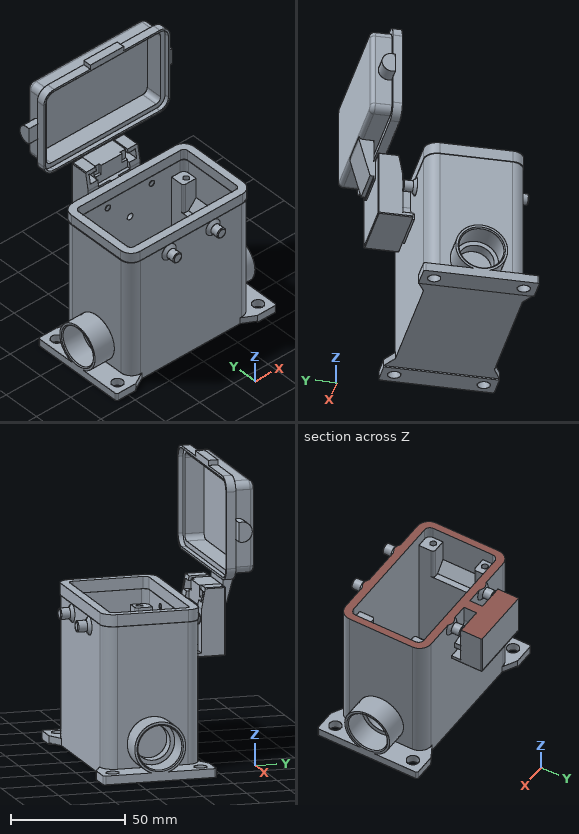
import cadquery as cq
import math


body_x = 70.9
body_y = 44.4
body_bottom = 0.7
body_top = 73.5
rim_x = 71.7
rim_y = 44.7
rim_bottom = 68.1
corner_radius = 6.0
root_overlap = 1.3
cavity_x = 63.4
cavity_y = 36.1
cavity_floor = 4.1
cavity_radius = 2.7
mouth_step = 0.1
mouth_radius = 2.1

flange_x = 93.5
flange_y = 51.9
flange_thickness = 4.0
flange_ear_x = 35.6
flange_waist_x = 28.8
flange_radius = 1.1
mount_hole_x = 41.0
mount_hole_y = 20.0
mount_hole_diameter = 5.8

entry_z = 15.0
entry_radius = 11.6
bore_radius = 10.0
bore_chamfer = 0.5
seat_radius = 8.0
seat_depth = 5.4

post_inner_x = 24.2
post_y = 10.3
post_top = 61.4
post_fillet = 1.3
screw_x = 28.6
screw_y = 13.4
screw_diameter = 3.0
screw_depth = 10.7
block_top = 45.5
ramp_start_x = 27.3
ramp_top = 50.5

pin_x = 12.8
pin_z = 63.9
pin_radius = 2.5
pin_tip_y = 28.1
pin_tip_chamfer = 0.4
pin_base_radius = 4.1
pin_base_length = 1.5
pin_end_radius = 1.5
pin_end_depth = 0.3

bracket_half_x = 10.2
bracket_neck_half_x = 2.5
bracket_bottom = 48.7
bracket_top = 67.8
bracket_flare = bracket_half_x - bracket_neck_half_x
bracket_shoulder = 51.5
rivet_z = 52.2
rivet_radius = 1.6
rivet_depth = 5.4

cover_half_x = 15.2
cover_front = 28.5
cover_back = 39.5
cover_bottom = 46.8
cover_top = 77.8
cover_slope_y = 30.2
cover_slope_z = 68.5
cover_foot_y = 23.8
cover_edge = 0.4
cover_wall = 1.7
pocket_bottom = 71.2
pocket_top = 75.8
pocket_back = 37.9

arm_half_x = 9.2
arm_bottom = 69.3
arm_top = 91.0
arm_front = 40.1
arm_toe_y = 41.9
arm_heel_y = 46.8
knuckle_front = 31.5
knuckle_top = 77.0
pad_half_x = 6.2
pad_front = 30.2
pad_shoulder = 72.1

lid_z = 108.2
lid_front = 33.3
lid_step = 37.6
lid_back = 47.0
lid_x = 68.7
lid_height = 41.5
lid_radius = 3.5
lid_fillet = 2.0
lid_lip = 2.5
lid_rim = 1.1
recess_depth = 2.3
lid_cavity_x = 66.6
lid_cavity_height = 39.6
lid_cavity_radius = 2.7
lid_floor = 44.4
tab_half_x = 9.8
tab_top = 133.8
trunnion_x = 83.7
trunnion_radius = 4.5
trunnion_y = 39.0


def box(x0, x1, y0, y1, z0, z1):
    """Box between two corner points."""
    return cq.Workplane("XY").box(x1 - x0, y1 - y0, z1 - z0, centered=False).translate((x0, y0, z0))


def upright_block(x, y, radius, z0, z1):
    """Centred block with rounded vertical edges."""
    return cq.Workplane("XY", origin=(0, 0, z0)).rect(x, y).extrude(z1 - z0).edges("|Z").fillet(radius)


def lid_block(x, height, radius, y0, y1):
    """Block centred on the lid with its edges along Y rounded."""
    block = cq.Workplane("XZ", origin=(0, y0, lid_z)).rect(x, height).extrude(y0 - y1)
    return block.edges("|Y").fillet(radius)


def side_profile(points, half_x):
    """Outline of (Y, Z) points extruded to both sides of the middle plane."""
    return cq.Workplane("YZ").polyline(points).close().extrude(half_x, both=True)


def x_cylinder(radius, x0, x1, y, z):
    return cq.Workplane("YZ", origin=(x0, y, z)).circle(radius).extrude(x1 - x0)


def y_cylinder(radius, y0, y1, x, z):
    return cq.Workplane("XZ", origin=(x, y0, z)).circle(radius).extrude(y0 - y1)


def both_ends(shape):
    """The shape and its mirror image at the other end of the part."""
    return shape.union(shape.mirror("YZ"))


def flange():
    ear_x, ear_y = flange_x / 2, flange_y / 2
    waist_y = body_y / 2
    outline = [
        (0, -waist_y),
        (flange_waist_x, -waist_y),
        (flange_ear_x, -ear_y),
        (ear_x, -ear_y),
        (ear_x, ear_y),
        (flange_ear_x, ear_y),
        (flange_waist_x, waist_y),
        (0, waist_y),
    ]
    half = cq.Workplane("XY").polyline(outline).close().extrude(flange_thickness)
    half = half.edges("|Z and >X").fillet(flange_radius)
    plate = both_ends(half)
    holes = [(sx * mount_hole_x, sy * mount_hole_y) for sx in (-1, 1) for sy in (-1, 1)]
    plate = plate.faces(">Z").workplane(origin=(0, 0, 0)).pushPoints(holes).hole(mount_hole_diameter)
    return plate.cut(box(-flange_ear_x, flange_ear_x, -ear_y, ear_y, 0, body_bottom))


def box_interior():
    """Corner posts and sloping end blocks left standing in the cavity."""
    wall_x, wall_y = cavity_x / 2, cavity_y / 2
    profile = [
        (post_inner_x, cavity_floor),
        (post_inner_x, block_top),
        (ramp_start_x, block_top),
        (wall_x, ramp_top),
        (wall_x, cavity_floor),
    ]
    end = cq.Workplane("XZ").polyline(profile).close().extrude(wall_y, both=True)
    for side in (-1, 1):
        near, far = sorted((side * post_y, side * wall_y))
        post = box(post_inner_x, wall_x, near, far, cavity_floor, post_top)
        inner_edge = "|Z and <X and " + ("<Y" if side > 0 else ">Y")
        post = post.edges(inner_edge).fillet(post_fillet)
        hole = cq.Workplane("XY", origin=(screw_x, side * screw_y, post_top - screw_depth))
        end = end.union(post).cut(hole.circle(screw_diameter / 2).extrude(screw_depth))
    return both_ends(end)


def cable_entry():
    return x_cylinder(entry_radius, body_x / 2 - root_overlap, flange_x / 2, 0, entry_z)


def cable_bore():
    """Stepped blind bore with a chamfered mouth, for the +X end."""
    mouth, shoulder = flange_x / 2, body_x / 2
    seat_end = shoulder - seat_depth
    bore = x_cylinder(bore_radius, shoulder, mouth, 0, entry_z)
    bore = bore.union(x_cylinder(seat_radius, seat_end, shoulder, 0, entry_z))
    flare_start = cq.Workplane("YZ", origin=(mouth - bore_chamfer, 0, entry_z)).circle(bore_radius)
    flare = flare_start.workplane(offset=bore_chamfer).circle(bore_radius + bore_chamfer).loft()
    return bore.union(flare)


def locking_pin(x):
    """Pin on the back wall with a conical root and a chamfered tip."""
    wall = body_y / 2
    profile = [
        (0, wall - root_overlap),
        (pin_base_radius, wall - root_overlap),
        (pin_base_radius, wall),
        (pin_radius, wall + pin_base_length),
        (pin_radius, pin_tip_y - pin_tip_chamfer),
        (pin_radius - pin_tip_chamfer, pin_tip_y),
        (0, pin_tip_y),
    ]
    pin = cq.Workplane("XY").polyline(profile).close().revolve(360, (0, 0, 0), (0, 1, 0))
    return pin.translate((x, 0, pin_z))


def housing():
    body = upright_block(body_x, body_y, corner_radius, body_bottom, body_top)
    body = body.union(upright_block(rim_x, rim_y, corner_radius, rim_bottom, body_top))
    body = body.union(flange())
    body = body.union(both_ends(cable_entry()))
    body = body.cut(upright_block(cavity_x, cavity_y, cavity_radius, cavity_floor, body_top))
    mouth_x, mouth_y = cavity_x + 2 * mouth_step, cavity_y + 2 * mouth_step
    body = body.cut(upright_block(mouth_x, mouth_y, mouth_radius, rim_bottom, body_top))
    body = body.union(box_interior())
    body = body.cut(both_ends(cable_bore()))
    for x in (-pin_x, pin_x):
        back_pin = locking_pin(x)
        body = body.union(back_pin).union(back_pin.mirror("XZ"))
        body = body.cut(y_cylinder(pin_end_radius, cavity_y / 2, cavity_y / 2 + pin_end_depth, x, pin_z))
    return body


def hinge_bracket():
    """Upright neck that flares in two concave quarter rounds to a wide foot."""
    flare_z = bracket_shoulder + bracket_flare
    swing = bracket_flare * (1 - math.sqrt(0.5))
    mid_x, mid_z = bracket_neck_half_x + swing, bracket_shoulder + swing
    outline = (
        cq.Workplane("XZ", origin=(0, body_y / 2, 0))
        .moveTo(-bracket_half_x, bracket_bottom)
        .lineTo(bracket_half_x, bracket_bottom)
        .lineTo(bracket_half_x, bracket_shoulder)
        .threePointArc((mid_x, mid_z), (bracket_neck_half_x, flare_z))
        .lineTo(bracket_neck_half_x, bracket_top)
        .lineTo(-bracket_neck_half_x, bracket_top)
        .lineTo(-bracket_neck_half_x, flare_z)
        .threePointArc((-mid_x, mid_z), (-bracket_half_x, bracket_shoulder))
        .close()
    )
    return outline.extrude(body_y / 2 - cover_front)


def hinge_cover():
    profile = [
        (cover_back, cover_bottom),
        (cover_back, cover_top),
        (cover_slope_y, cover_top),
        (cover_front, cover_slope_z),
        (cover_front, bracket_bottom),
        (cover_foot_y, bracket_bottom),
        (cover_foot_y, cover_bottom),
    ]
    cover = side_profile(profile, cover_half_x)
    cover = cover.faces(">Y").edges().chamfer(cover_edge)
    cover = cover.faces(">Z or <Z").edges("|Y").chamfer(cover_edge)
    cover = cover.cut(box(-arm_half_x, arm_half_x, cover_front, cover_back, bracket_top, cover_top))
    pocket_x = cover_half_x - cover_wall
    return cover.cut(box(-pocket_x, pocket_x, cover_front, pocket_back, pocket_bottom, pocket_top))


def lid_arm():
    profile = [
        (arm_front, arm_top),
        (arm_heel_y, arm_top),
        (arm_heel_y, lid_z - lid_height / 2),
        (arm_toe_y, arm_bottom),
        (arm_front, arm_bottom),
    ]
    arm = side_profile(profile, arm_half_x)
    knuckle = box(-arm_half_x, arm_half_x, knuckle_front, arm_front, bracket_top, knuckle_top)
    pad = box(-pad_half_x, pad_half_x, pad_front, knuckle_front, bracket_top, knuckle_top)
    wide_pad = box(-arm_half_x, arm_half_x, pad_front, knuckle_front, bracket_top, pad_shoulder)
    return arm.union(knuckle).union(pad).union(wide_pad)


def lid():
    flange_width = lid_x + 2 * lid_lip
    flange_height = lid_height + 2 * lid_lip
    flange_radius_outer = lid_radius + lid_lip
    shell = lid_block(lid_x, lid_height, lid_radius, lid_front, lid_back)
    shell = shell.faces(">Y").edges().fillet(lid_fillet)
    shell = shell.union(lid_block(flange_width, flange_height, flange_radius_outer, lid_front, lid_step))
    shell = shell.union(box(-tab_half_x, tab_half_x, lid_front, lid_step, lid_z, tab_top))
    end_x = trunnion_x / 2
    trunnions = x_cylinder(trunnion_radius, -end_x, end_x, trunnion_y, lid_z)
    low_z, high_z = lid_z - trunnion_radius, lid_z + trunnion_radius
    behind_flange = box(-end_x, end_x, lid_step, lid_back, low_z, high_z)
    shell = shell.union(trunnions.intersect(behind_flange)).union(lid_arm())
    recess = lid_block(
        flange_width - 2 * lid_rim,
        flange_height - 2 * lid_rim,
        flange_radius_outer - lid_rim,
        lid_front,
        lid_front + recess_depth,
    )
    cavity = lid_block(lid_cavity_x, lid_cavity_height, lid_cavity_radius, lid_front, lid_floor)
    return shell.cut(recess).cut(cavity)


rivet_face = cavity_y / 2
rivet_hole = y_cylinder(rivet_radius, rivet_face, rivet_face + rivet_depth, 0, rivet_z)

result = housing().union(hinge_bracket()).union(hinge_cover()).union(lid()).cut(rivet_hole)